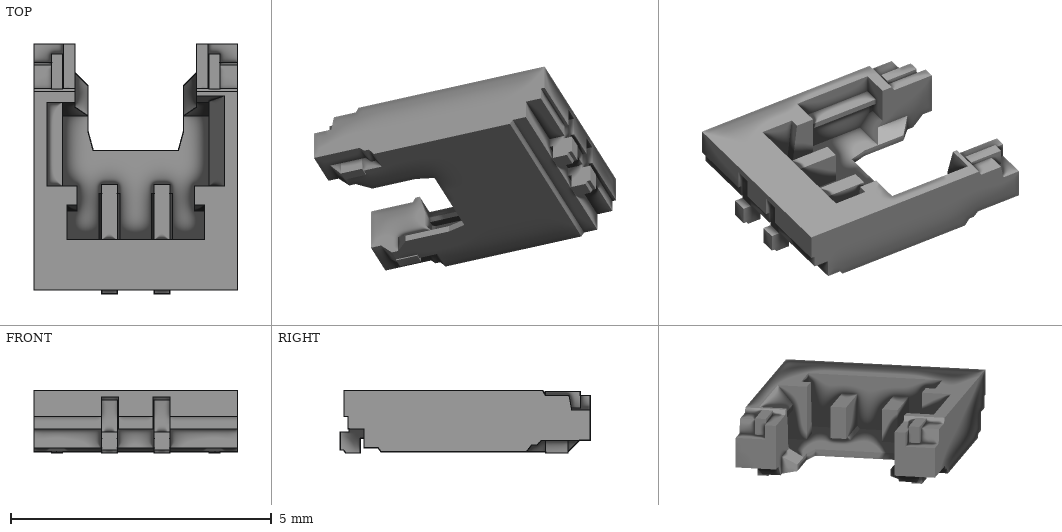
import cadquery as cq

LENGTH = 4.72
WIDTH = 3.9
HEIGHT = 1.18
PAD_DROP = 0.025
HALF_WIDTH = WIDTH / 2
OVERSIZE = 0.24

UPPER_STEP_Y = 0.075
UPPER_STEP_Z = 0.675
LOWER_STEP_Y = 0.385
LOWER_STEP_Z = 0.44
BACK_FOOT_Y = 0.65
BACK_FOOT_Z = 0.075
BACK_FOOT_RUN = 0.057

ARM_INNER_X = 1.16
ARM_TOP_Z = 1.083
ARM_TOP_START_Y = 3.86
SHOULDER_RUN = 0.055
TIP_SHELF_Z = 0.805
TIP_SHELF_Y = 4.365
TIP_BOTTOM_Z = 0.22
TIP_RAMP_Y = 4.51
RIB_OUTER_X = 1.38

FLOOR_Z = 0.13
GUIDE_INNER_X = 0.91
GUIDE_TOP_Z = 0.335
GUIDE_END_Y = 4.163
GUIDE_CORNER_Y = 3.915
MOUTH_HALF_WIDTH = 0.815
MOUTH_Y = 2.68
MOUTH_TAPER_Y = 3.03
RAMP_START_Y = 3.335
RAMP_TOP_Z = 0.455

POCKET_START_Y = 1.997
POCKET_END_Y = 3.595
POCKET_TOP_X = 1.695
LEDGE_INNER_X = 1.4
LEDGE_TOP_Z = 0.815
LEDGE_BOTTOM_Z = 0.705
POCKET_LOWER_X = 1.555
POCKET_CORNER = 0.05
END_BEVEL_RUN = 0.125
END_BEVEL_BOTTOM_Z = 0.742

CAVITY_START_Y = 0.968
CAVITY_HALF_WIDTH = 1.312
COLUMN_INNER_X = 1.125
NOTCH_TOP_Y = 1.635
NOTCH_BOTTOM_Y = 1.515

TAB_INNER_X = 1.4
TAB_OUTER_X = 1.61
TAB_START_Y = 3.85
TAB_END_Y = 4.525
TAB_BOTTOM_Z = 0.84
TAB_TOP_Z = 1.16
PEG_END_Y = 4.29

RELIEF_TAPER = 0.095
RELIEF_START_Y = 3.49
RELIEF_STEP_START_Y = 3.592
RELIEF_STEP_END_Y = 3.695
RELIEF_STEP_Z = 0.13
RELIEF_FULL_Y = 3.785

TERMINAL_X = 0.505
TERMINAL_WIDTH = 0.3
LEG_FRONT_Y = 0.095
LEG_TOP_Z = 0.99
LEG_BACK_Y = LOWER_STEP_Y
LEG_BOTTOM_Z = 0.26
POST_END_Y = 2.02
POST_BOTTOM_Z = 0.19
POST_TOP_Z = 0.815
PAD_TIP_Y = -0.07
PAD_INNER_Y = 0.315
PAD_NOTCH_Z = 0.035
PAD_NOTCH_TOP_Y = -0.005
PAD_NOTCH_BOTTOM_Y = 0.03
PAD_TOP_Z = 0.385
SLOT_TOP_Z = 1.05
SLOT_DEPTH = 0.145
SLOT_CLEARANCE = 0.02
SUPPORT_END_Y = 1.855
SUPPORT_FLARE = 0.05


def box(x0, x1, y0, y1, z0, z1):
    """Box between two opposite corners."""
    return cq.Workplane("XY").box(x1 - x0, y1 - y0, z1 - z0, centered=False).translate((x0, y0, z0))


def side_prism(points, x0, x1):
    """Extrude a (Y, Z) outline from x0 to x1."""
    return cq.Workplane("YZ").polyline(points).close().extrude(x1 - x0).translate((x0, 0, 0))


def end_prism(points, y0, y1):
    """Extrude an (X, Z) outline from y0 to y1."""
    return cq.Workplane("XZ").polyline(points).close().extrude(y0 - y1).translate((0, y0, 0))


def plan_prism(points, z0, z1):
    """Extrude an (X, Y) outline from z0 to z1."""
    return cq.Workplane("XY").polyline(points).close().extrude(z1 - z0).translate((0, 0, z0))


def both_sides(shape):
    """Join a right-hand shape with its mirror image."""
    return shape.union(shape.mirror("YZ"))


def housing_block():
    """Full-width block with the stepped back and the lowered, ramped arm ends."""
    outline = [
        (0, HEIGHT),
        (0, UPPER_STEP_Z),
        (UPPER_STEP_Y, UPPER_STEP_Z),
        (UPPER_STEP_Y, LOWER_STEP_Z),
        (LOWER_STEP_Y, LOWER_STEP_Z),
        (LOWER_STEP_Y, BACK_FOOT_Z),
        (BACK_FOOT_Y, BACK_FOOT_Z),
        (BACK_FOOT_Y + BACK_FOOT_RUN, 0),
        (TIP_RAMP_Y - TIP_BOTTOM_Z, 0),
        (TIP_RAMP_Y, TIP_BOTTOM_Z),
        (LENGTH, TIP_BOTTOM_Z),
        (LENGTH, ARM_TOP_Z),
        (ARM_TOP_START_Y, ARM_TOP_Z),
        (ARM_TOP_START_Y - SHOULDER_RUN, HEIGHT),
    ]
    return side_prism(outline, -HALF_WIDTH, HALF_WIDTH)


def mouth_cut():
    """Opening between the arms, above the guide faces and through the floor."""
    right_edge = [
        (MOUTH_HALF_WIDTH, MOUTH_Y),
        (GUIDE_INNER_X, MOUTH_TAPER_Y),
        (GUIDE_INNER_X, GUIDE_CORNER_Y),
        (ARM_INNER_X, GUIDE_END_Y),
        (ARM_INNER_X, LENGTH + OVERSIZE),
    ]
    left_edge = [(-x, y) for x, y in reversed(right_edge)]
    opening = plan_prism(right_edge + left_edge, -OVERSIZE, HEIGHT + OVERSIZE)
    above_guides = [
        (-ARM_INNER_X, GUIDE_TOP_Z),
        (-GUIDE_INNER_X, FLOOR_Z),
        (GUIDE_INNER_X, FLOOR_Z),
        (ARM_INNER_X, GUIDE_TOP_Z),
        (ARM_INNER_X, HEIGHT + OVERSIZE),
        (-ARM_INNER_X, HEIGHT + OVERSIZE),
    ]
    return opening.union(end_prism(above_guides, RAMP_START_Y, LENGTH + OVERSIZE))


def cavity_cut():
    """Rear cavity down to the floor, with a slope-ended notch behind each column."""
    cavity = box(-COLUMN_INNER_X, COLUMN_INNER_X, CAVITY_START_Y, RAMP_START_Y, FLOOR_Z, HEIGHT)
    notch = [
        (CAVITY_START_Y, FLOOR_Z),
        (NOTCH_BOTTOM_Y, FLOOR_Z),
        (NOTCH_TOP_Y, HEIGHT),
        (CAVITY_START_Y, HEIGHT),
    ]
    return cavity.union(side_prism(notch, -CAVITY_HALF_WIDTH, CAVITY_HALF_WIDTH))


def lower_pocket_cut():
    """Right-hand pocket below and inside the ledge, ending in a ramp up from the floor."""
    plan = [
        (0, POCKET_START_Y),
        (POCKET_LOWER_X, POCKET_START_Y),
        (POCKET_LOWER_X, POCKET_END_Y - POCKET_CORNER),
        (POCKET_LOWER_X - POCKET_CORNER, POCKET_END_Y),
        (0, POCKET_END_Y),
    ]
    room = plan_prism(plan, FLOOR_Z, HEIGHT)
    ramp = [
        (RAMP_START_Y, FLOOR_Z),
        (POCKET_END_Y, FLOOR_Z),
        (POCKET_END_Y, RAMP_TOP_Z),
    ]
    ledge = box(LEDGE_INNER_X, POCKET_LOWER_X, POCKET_START_Y, POCKET_END_Y, LEDGE_BOTTOM_Z, HEIGHT)
    return room.cut(side_prism(ramp, 0, POCKET_LOWER_X)).cut(ledge)


def left_ledge_cut():
    """Square recess above the flat left ledge."""
    return box(-POCKET_TOP_X, -LEDGE_INNER_X, POCKET_START_Y, POCKET_END_Y, LEDGE_TOP_Z, HEIGHT)


def right_bevel_cut():
    """Lead-in bevels along the right wall and across the end of the right pocket."""
    bevel_end_y = POCKET_END_Y + END_BEVEL_RUN
    side = [
        (0, LEDGE_BOTTOM_Z),
        (LEDGE_INNER_X, LEDGE_BOTTOM_Z),
        (LEDGE_INNER_X, LEDGE_TOP_Z),
        (POCKET_TOP_X, HEIGHT),
        (0, HEIGHT),
    ]
    end = [
        (POCKET_START_Y, LEDGE_BOTTOM_Z),
        (POCKET_END_Y, LEDGE_BOTTOM_Z),
        (POCKET_END_Y, END_BEVEL_BOTTOM_Z),
        (bevel_end_y, HEIGHT),
        (POCKET_START_Y, HEIGHT),
    ]
    along = end_prism(side, POCKET_START_Y, bevel_end_y)
    across = side_prism(end, COLUMN_INNER_X, POCKET_TOP_X)
    return along.intersect(across)


def arm_tip_cut():
    """Low shelf outside the right arm's rib and the thin groove beside the rib."""
    shelf = [
        (TIP_SHELF_Y, TIP_SHELF_Z),
        (LENGTH, TIP_SHELF_Z),
        (LENGTH, ARM_TOP_Z),
        (TIP_SHELF_Y - SHOULDER_RUN, ARM_TOP_Z),
    ]
    groove = box(RIB_OUTER_X, TAB_INNER_X, ARM_TOP_START_Y, TIP_SHELF_Y, TIP_SHELF_Z, ARM_TOP_Z)
    return side_prism(shelf, RIB_OUTER_X, HALF_WIDTH).union(groove)


def arm_relief_cut():
    """Stepped relief under the outer edge of the right arm, with a tapered inner wall."""
    profile = [
        (RELIEF_START_Y, 0),
        (RELIEF_STEP_START_Y, RELIEF_STEP_Z),
        (RELIEF_STEP_END_Y, RELIEF_STEP_Z),
        (RELIEF_FULL_Y, TIP_BOTTOM_Z),
        (LENGTH, TIP_BOTTOM_Z),
        (LENGTH, 0),
    ]
    section = [
        (TAB_OUTER_X - RELIEF_TAPER, 0),
        (HALF_WIDTH, 0),
        (HALF_WIDTH, TIP_BOTTOM_Z),
        (TAB_OUTER_X, TIP_BOTTOM_Z),
    ]
    return side_prism(profile, 0, HALF_WIDTH).intersect(end_prism(section, 0, LENGTH))


def arm_tab():
    """Metal tab on top of the right arm and its solder peg underneath."""
    tab = box(TAB_INNER_X, TAB_OUTER_X, TAB_START_Y, TAB_END_Y, TAB_BOTTOM_Z, TAB_TOP_Z)
    peg = box(TAB_INNER_X, TAB_OUTER_X, ARM_TOP_START_Y, PEG_END_Y, -PAD_DROP, TIP_BOTTOM_Z)
    return tab.union(peg)


def terminal_slot():
    """Clearance slot in the back wall on the inner side and above the right terminal."""
    inner_x = TERMINAL_X - TERMINAL_WIDTH / 2 - SLOT_CLEARANCE
    outer_x = TERMINAL_X + TERMINAL_WIDTH / 2
    return box(inner_x, outer_x, 0, SLOT_DEPTH, 0, SLOT_TOP_Z)


def terminal():
    """Right terminal: contact post, upright leg and solder pad, with a flared support below."""
    inner_x = TERMINAL_X - TERMINAL_WIDTH / 2
    outer_x = TERMINAL_X + TERMINAL_WIDTH / 2
    outline = [
        (LEG_FRONT_Y, LEG_TOP_Z),
        (LEG_FRONT_Y, PAD_TOP_Z),
        (PAD_TIP_Y, PAD_TOP_Z),
        (PAD_TIP_Y, PAD_NOTCH_Z),
        (PAD_NOTCH_TOP_Y, PAD_NOTCH_Z),
        (PAD_NOTCH_BOTTOM_Y, -PAD_DROP),
        (PAD_INNER_Y, -PAD_DROP),
        (PAD_INNER_Y, LEG_BOTTOM_Z),
        (LEG_BACK_Y, LEG_BOTTOM_Z),
        (LEG_BACK_Y, POST_BOTTOM_Z),
        (POST_END_Y, POST_BOTTOM_Z),
        (POST_END_Y, POST_TOP_Z),
        (LEG_BACK_Y, POST_TOP_Z),
        (LEG_BACK_Y, LEG_TOP_Z),
    ]
    support = [
        (inner_x - SUPPORT_FLARE, FLOOR_Z),
        (outer_x + SUPPORT_FLARE, FLOOR_Z),
        (outer_x, POST_BOTTOM_Z),
        (inner_x, POST_BOTTOM_Z),
    ]
    return side_prism(outline, inner_x, outer_x).union(end_prism(support, CAVITY_START_Y, SUPPORT_END_Y))


housing = housing_block().cut(mouth_cut())
housing = housing.cut(cavity_cut())
housing = housing.cut(both_sides(lower_pocket_cut()))
housing = housing.cut(left_ledge_cut()).cut(right_bevel_cut())
housing = housing.cut(both_sides(arm_tip_cut())).cut(both_sides(arm_relief_cut()))
housing = housing.cut(both_sides(terminal_slot()))
result = housing.union(both_sides(arm_tab())).union(both_sides(terminal()))